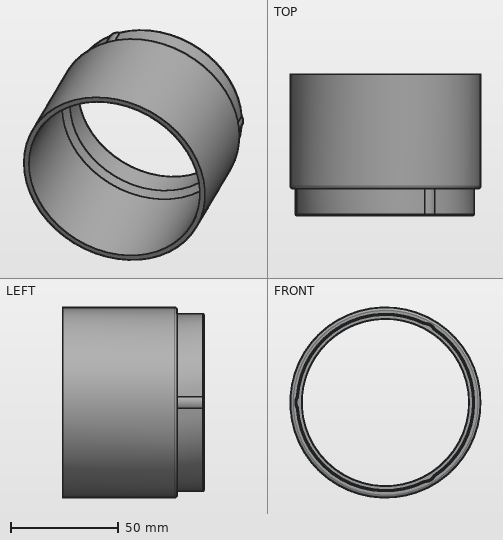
import cadquery as cq
import math

body_diameter = 88.9
total_length = 66.05
spigot_bore_diameter = 78.0
body_edge_radius = 1.3

spigot_diameter = 83.0
spigot_length = 12.6
spigot_edge_chamfer = 0.7

body_bore_diameter = 83.8
cone_length = (body_bore_diameter - spigot_bore_diameter) / 2

ridge_angles = (60, 180, 300)
ridge_half_width = 2.7
ridge_height = 0.6


def cylinder(diameter, start, length):
    """Solid cylinder along +Y that begins at y = start."""
    base = cq.Workplane("XZ", origin=(0, start, 0))
    return base.circle(diameter / 2).extrude(-length)


def ridge(angle):
    """Low rounded rib on the spigot, at the given angle from +X towards +Z."""
    spigot_radius = spigot_diameter / 2
    foot_x = math.sqrt(spigot_radius**2 - ridge_half_width**2)
    root_x = spigot_bore_diameter / 2
    profile = (
        cq.Workplane("XZ")
        .moveTo(root_x, -ridge_half_width)
        .lineTo(foot_x, -ridge_half_width)
        .threePointArc((spigot_radius + ridge_height, 0), (foot_x, ridge_half_width))
        .lineTo(root_x, ridge_half_width)
        .close()
    )
    rib = profile.extrude(-spigot_length)
    rib = rib.faces("<Y").edges("%CIRCLE").chamfer(spigot_edge_chamfer)
    return rib.rotate((0, 0, 0), (0, 1, 0), -angle)


spigot = cylinder(spigot_diameter, 0, spigot_length)
spigot = spigot.faces("<Y").edges().chamfer(spigot_edge_chamfer)
for ridge_angle in ridge_angles:
    spigot = spigot.union(ridge(ridge_angle))

body = cylinder(body_diameter, spigot_length, total_length - spigot_length)
body = body.faces("<Y").edges().fillet(body_edge_radius)

cone_end = spigot_length + cone_length
spigot_bore = cylinder(spigot_bore_diameter, 0, spigot_length)
body_bore = cylinder(body_bore_diameter, cone_end, total_length - cone_end)
cone = cq.Workplane(
    cq.Solid.makeCone(
        spigot_bore_diameter / 2,
        body_bore_diameter / 2,
        cone_length,
        pnt=cq.Vector(0, spigot_length, 0),
        dir=cq.Vector(0, 1, 0),
    )
)

result = body.union(spigot).cut(spigot_bore).cut(cone).cut(body_bore)